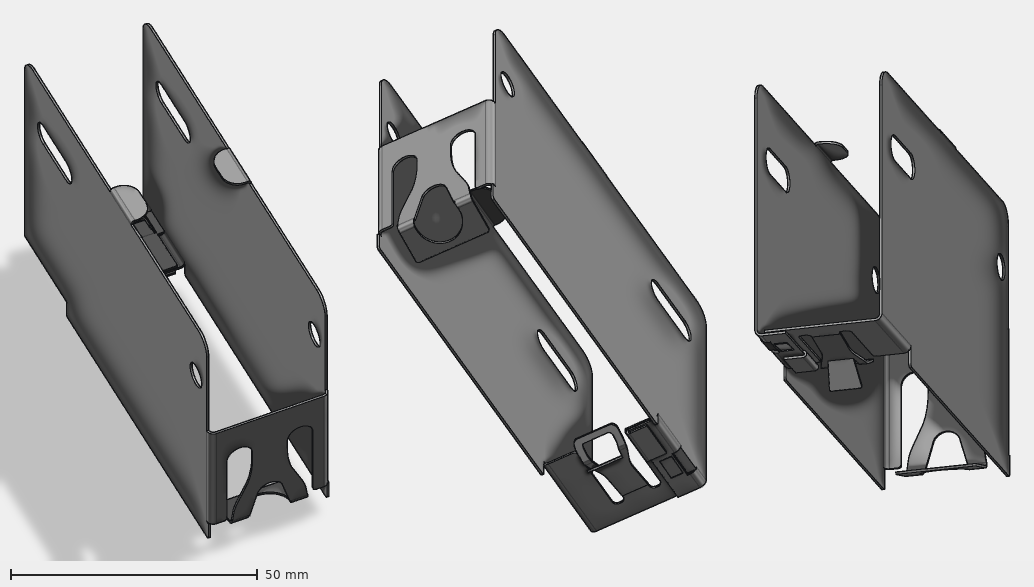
import cadquery as cq


length = 88.5
width = 27.0
sheet = 0.505
bend_inner = 1.0
bend_mid = bend_inner + sheet / 2
lap = 0.3
half_width = width / 2
wall_mid_y = half_width - sheet / 2

top_z = 55.1
tab_rise = 0.9
wall_top = top_z - tab_rise
wall_bottom = -3.5
wall_corner = 4.0
small_corner = 0.6
wall_end_x = length - bend_inner - sheet
skirt_end_x = 87.9
end_wall_bottom = 1.1
hole_z = 39.7
hole_diameter = 5.5
round_hole_x = 81.9
slot_x = 14.4
slot_length = 16.4

tab_x = 45.8
tab_width = 10.0
tab_reach = 5.05
tab_corner = 3.5

floor_length = 20.0
floor_edge_y = 11.4
lock_x = (4.1, 10.4)
opening_half = 5.6
opening_corner = 0.6
relief_start_x = 4.0
relief_corner = 1.1
flange_gap = 0.2
flange_mid_z = -1.5 * sheet - flange_gap
flange_bend_z = flange_mid_z + bend_mid
flange_edge_y = 6.9
hem_start_x = 11.9
hem_edge_y = 11.0
hem_mid_radius = 0.5
window_x = (4.9, 9.9)
window_y = (7.8, 11.4)
latch_start_x = 5.1
latch_low_z = -0.9
latch_y = (8.2, 11.0)

tongue_start_x = 5.4
tongue_half = 3.0
flare_start_x = 11.5
fold_x = 17.9
fold_z = -2.5
fold_radius = 1.1
tongue_end_x = 22.75
tongue_end_z = -0.2
frame_half = 5.05
frame_start_x = 19.3
frame_corner = 1.4
frame_hole_end_x = 21.5
frame_hole_half = 3.45
frame_hole_corner = 0.8
pull_hinge_x = 15.4
pull_hinge_half = 2.65
pull_tip_x = 19.1
pull_tip_z = -7.35
pull_tip_half = frame_hole_half
pull_corner = 0.35

end_wall_top = 28.1
end_slot_outer_y = 9.65
end_slot_inner_y = 3.9
end_slot_top = 21.4
leg_half = 8.5
leg_corner_z = -0.7
leg_foot_z = 0.3
leg_foot_y = 8.4
leg_bow_start_z = 16.6
leg_bow = [(5.05, 9.7), (7.5, 4.5)]
arch_top = 7.9
arch_radius = 2.7
arch_shoulder_z = 6.1
arch_foot_half = 4.9
arch_foot_z = -1.15
lip_start_x = 80.3
lip_tip_z = -3.0
lip_corner = 0.6
lip_hole_x = 86.8
lip_hole_radius = 5.05


def box(x, y, z):
    """Axis-aligned block from (low, high) pairs."""
    block = cq.Workplane("XY").box(x[1] - x[0], y[1] - y[0], z[1] - z[0], centered=False)
    return block.translate((x[0], y[0], z[0]))


def bent_strip(plane_name, points, bend_radius, low, high):
    """Sheet along a mid-line of straight runs with rounded corners, spanning low to high across it."""
    across = cq.Plane.named(plane_name).zDir
    plane = cq.Plane.named(plane_name, origin=(across * ((low + high) / 2)).toTuple())
    path = cq.Workplane(plane).polyline(points).wire().val()
    path = path.fillet2D(bend_radius, path.Vertices()[1:-1])
    start = plane.toWorldCoords(points[0])
    heading = plane.toWorldCoords(points[1]) - start
    section = cq.Workplane(cq.Plane(start, xDir=across, normal=heading)).rect(high - low, sheet)
    return section.sweep(cq.Workplane("XY").newObject([path]))


def mirrored(part):
    """The part together with its mirror image across the mid-width plane."""
    return part.union(part.mirror("XZ"))


def side_wall(side):
    """One flat wall; side is -1 or +1. Along the floor it stops where the bend starts."""
    face_y = side * wall_mid_y - sheet / 2
    bend_z = bend_inner if side < 0 else flange_bend_z
    panel = box((0, wall_end_x), (face_y, face_y + sheet), (end_wall_bottom, wall_top))
    panel = panel.edges("|Y and >Z").fillet(wall_corner)
    foot = box((0, floor_length), (face_y, face_y + sheet), (bend_z, end_wall_bottom + small_corner))
    skirt = box((floor_length, skirt_end_x), (face_y, face_y + sheet), (wall_bottom, end_wall_bottom))
    skirt = skirt.edges("|Y and <Z").fillet(small_corner)
    return panel.union(foot).union(skirt)


def wall_holes():
    """Slot and round hole through both walls."""
    plan = cq.Workplane("XZ")
    slot = plan.center(slot_x, hole_z).slot2D(slot_length, hole_diameter).extrude(half_width, both=True)
    hole = plan.center(round_hole_x, hole_z).circle(hole_diameter / 2).extrude(half_width, both=True)
    return slot.union(hole)


def top_tab():
    """Rounded tab folded inward from the top edge of the +Y wall."""
    tip_y = half_width - tab_reach
    mid_z = top_z - sheet / 2
    line = [(wall_mid_y, wall_top - lap), (wall_mid_y, mid_z), (tip_y, mid_z)]
    tab = bent_strip("YZ", line, tab_rise - sheet / 2, tab_x - tab_width / 2, tab_x + tab_width / 2)
    return tab.edges("|Z and <Y").fillet(tab_corner)


def floor():
    """Floor bent from the -Y wall, with the spring tongue opening and the lock features."""
    line = [(-wall_mid_y, bend_inner + lap), (-wall_mid_y, -sheet / 2), (floor_edge_y, -sheet / 2)]
    plate = bent_strip("YZ", line, bend_mid, 0, floor_length)
    lock = box(lock_x, (floor_edge_y, half_width), (-sheet, 0))
    opening = box((tongue_start_x, floor_length), (-opening_half, opening_half), (-sheet, 0))
    relief = box((relief_start_x, floor_length), (tongue_half, opening_half), (-sheet, 0))
    relief = mirrored(relief.edges("|Z and <X").fillet(relief_corner))
    plate = plate.cut(opening).cut(relief)
    for y in (-opening_half, opening_half):
        corner = cq.selectors.BoxSelector(
            (floor_length - sheet, y - sheet, -2 * sheet), (floor_length + sheet, y + sheet, sheet))
        plate = plate.edges("|Z").edges(corner).fillet(opening_corner)
    return plate.union(lock).cut(box(window_x, window_y, (-sheet, 0)))


def lower_flange():
    """Flange bent from the +Y wall under the floor, hemmed at its inner edge, with a sloping latch.

    The bend is notched where the floor lock reaches the wall.
    """
    line = [(wall_mid_y, flange_bend_z + lap), (wall_mid_y, flange_mid_z), (flange_edge_y, flange_mid_z)]
    flange = bent_strip("YZ", line, bend_mid, 0, floor_length)
    outer = hem_mid_radius + sheet / 2
    inner = hem_mid_radius - sheet / 2
    roll_z = flange_mid_z - hem_mid_radius
    hem = (
        cq.Workplane("YZ", origin=(hem_start_x, 0, 0))
        .moveTo(flange_edge_y, roll_z + outer)
        .threePointArc((flange_edge_y - outer, roll_z), (flange_edge_y, roll_z - outer))
        .lineTo(hem_edge_y, roll_z - outer)
        .lineTo(hem_edge_y, roll_z - inner)
        .lineTo(flange_edge_y, roll_z - inner)
        .threePointArc((flange_edge_y - inner, roll_z), (flange_edge_y, roll_z + inner))
        .close()
        .extrude(floor_length - hem_start_x)
    )
    latch = (
        cq.Workplane("XZ", origin=(0, latch_y[1], 0))
        .polyline([
            (latch_start_x, latch_low_z - sheet),
            (latch_start_x, latch_low_z),
            (window_x[1], 0),
            (window_x[1], flange_mid_z),
        ])
        .close()
        .extrude(latch_y[1] - latch_y[0])
    )
    notch = box(lock_x, (floor_edge_y, half_width), (flange_mid_z - sheet, flange_bend_z))
    latch_hole = box((latch_start_x, window_x[1]), latch_y, (flange_mid_z - sheet, 0))
    lock_wall = box(lock_x, (half_width - sheet, half_width), (0, flange_bend_z))
    return flange.cut(notch).cut(latch_hole).union(hem).union(latch).union(lock_wall)


def tongue_outline():
    """Plan of the tongue: a parallel strip flaring into a frame around a window."""
    outline = (
        cq.Workplane("XY", origin=(0, 0, wall_bottom))
        .moveTo(tongue_start_x, -tongue_half)
        .lineTo(flare_start_x, -tongue_half)
        .spline([(frame_start_x, -frame_half)], tangents=[(1, 0), (1, 0)], includeCurrent=True)
        .lineTo(tongue_end_x, -frame_half)
        .lineTo(tongue_end_x, frame_half)
        .lineTo(frame_start_x, frame_half)
        .spline([(flare_start_x, tongue_half)], tangents=[(-1, 0), (-1, 0)], includeCurrent=True)
        .lineTo(tongue_start_x, tongue_half)
        .close()
        .extrude(-wall_bottom)
        .edges("|Z and >X")
        .fillet(frame_corner)
    )
    window = (
        cq.Workplane("XY", origin=(0, 0, wall_bottom))
        .moveTo(pull_hinge_x, -pull_hinge_half)
        .lineTo(pull_tip_x, -frame_hole_half)
        .lineTo(frame_hole_end_x, -frame_hole_half)
        .lineTo(frame_hole_end_x, frame_hole_half)
        .lineTo(pull_tip_x, frame_hole_half)
        .lineTo(pull_hinge_x, pull_hinge_half)
        .close()
        .extrude(-wall_bottom)
        .edges("|Z and >X")
        .fillet(frame_hole_corner)
    )
    return outline.cut(window)


def spring_tongue():
    """Tongue sloping down from the floor and folding up at its frame, with a pull tab cut from it."""
    line = [(tongue_start_x, -sheet / 2), (fold_x, fold_z), (tongue_end_x, tongue_end_z)]
    strip = bent_strip("XZ", line, fold_radius, -frame_half, frame_half)
    root = box((tongue_start_x - sheet, tongue_start_x + sheet / 2), (-tongue_half, tongue_half), (-sheet, 0))
    slope = (fold_z + sheet / 2) / (fold_x - tongue_start_x)
    hinge_z = -sheet / 2 + slope * (pull_hinge_x - tongue_start_x)
    hinge = cq.Vector(pull_hinge_x, 0, hinge_z)
    along = cq.Vector(pull_tip_x, 0, pull_tip_z) - hinge
    pull = (
        cq.Workplane(cq.Plane(hinge, xDir=along, normal=cq.Vector(0, 1, 0).cross(along)))
        .polyline([
            (-sheet / 2, -pull_hinge_half),
            (along.Length, -pull_tip_half),
            (along.Length, pull_tip_half),
            (-sheet / 2, pull_hinge_half),
        ])
        .close()
        .extrude(sheet / 2, both=True)
    )
    pull = pull.faces("<Z").edges("not |Y").fillet(pull_corner)
    return strip.intersect(tongue_outline()).union(root).union(pull)


def end_wall():
    """End wall joining both side walls, with two legs carrying a sloping lip at the bottom."""
    mid_x = length - sheet / 2
    start_x = wall_end_x - lap
    line = [(start_x, -wall_mid_y), (mid_x, -wall_mid_y), (mid_x, wall_mid_y), (start_x, wall_mid_y)]
    panel = bent_strip("XY", line, bend_mid, end_wall_bottom, end_wall_top)
    line = [(mid_x, end_wall_bottom), (mid_x, leg_corner_z), (lip_start_x, lip_tip_z)]
    lip = bent_strip("XZ", line, bend_mid, -leg_half, leg_half)
    lip = lip.faces("<X").edges("not |Y").fillet(lip_corner)
    hole_base = cq.Workplane("XY", origin=(lip_hole_x, 0, wall_bottom))
    hole = hole_base.circle(lip_hole_radius).extrude(-wall_bottom)
    hole_mouth = box((lip_hole_x, length), (-lip_hole_radius, lip_hole_radius), (wall_bottom, arch_foot_z))
    lip = lip.cut(hole).cut(hole_mouth)
    wall = panel.union(lip).cut(mirrored(end_slot())).cut(arch())
    for y in (-end_slot_outer_y, end_slot_outer_y):
        corner = cq.selectors.BoxSelector(
            (length - 2 * sheet, y - lap, end_wall_bottom - lap), (length, y + lap, end_wall_bottom + lap))
        wall = wall.edges("|X").edges(corner).fillet(small_corner)
    return wall


def end_slot():
    """Slot beside the +Y leg: straight outside, round top, S-shaped along the leg."""
    radius = (end_slot_outer_y - end_slot_inner_y) / 2
    return (
        cq.Workplane("YZ", origin=(skirt_end_x - sheet, 0, 0))
        .moveTo(end_slot_outer_y, leg_foot_z)
        .lineTo(end_slot_outer_y, end_slot_top - radius)
        .threePointArc((end_slot_inner_y + radius, end_slot_top), (end_slot_inner_y, end_slot_top - radius))
        .lineTo(end_slot_inner_y, leg_bow_start_z)
        .spline(leg_bow + [(leg_foot_y, leg_foot_z)], tangents=[(0, -1), (0.1, -1)], includeCurrent=True)
        .close()
        .extrude(2 * sheet + lap)
    )


def arch():
    """Round-topped opening between the legs, widening downward."""
    return (
        cq.Workplane("YZ", origin=(lip_hole_x, 0, 0))
        .moveTo(-arch_foot_half, arch_foot_z)
        .lineTo(-arch_radius, arch_shoulder_z)
        .threePointArc((0, arch_top), (arch_radius, arch_shoulder_z))
        .lineTo(arch_foot_half, arch_foot_z)
        .close()
        .extrude(length - lip_hole_x)
    )


walls = side_wall(-1).union(side_wall(1)).union(mirrored(top_tab())).cut(wall_holes())
result = walls.union(end_wall()).union(floor()).union(lower_flange()).union(spring_tongue())